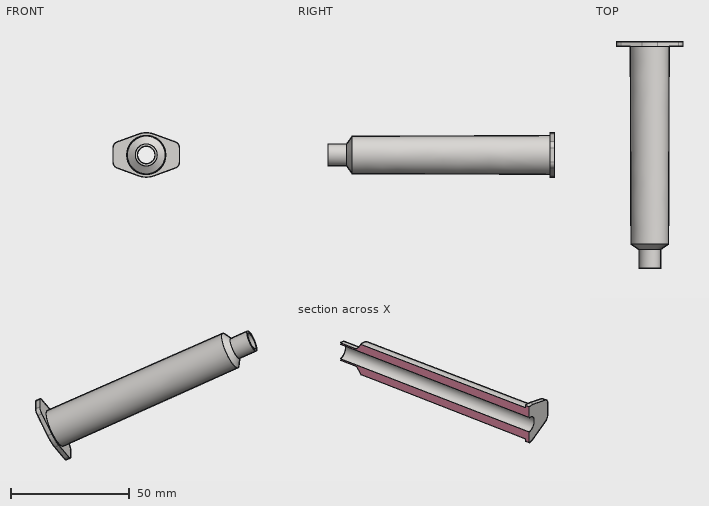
import cadquery as cq
import math

total_length = 95.3
flange_width = 28.0
flange_height = 18.8
flange_thickness = 2.0
flange_edge_angle = math.radians(20)
flange_corner_radius = 2.9

barrel_back_diameter = 16.5
barrel_front_diameter = 15.9
nozzle_diameter = 9.2
nozzle_length = 7.9
shoulder_length = 2.3
bore_diameter = 7.2


def make_flange():
    """Finger flange: two crown arcs about the axis joined by tangent sloping edges."""
    crown_radius = flange_height / 2
    side_x = flange_width / 2
    tangent_x = crown_radius * math.sin(flange_edge_angle)
    tangent_z = crown_radius * math.cos(flange_edge_angle)
    corner_z = tangent_z - (side_x - tangent_x) * math.tan(flange_edge_angle)
    plate = (
        cq.Workplane("XZ")
        .moveTo(-tangent_x, tangent_z)
        .threePointArc((0, crown_radius), (tangent_x, tangent_z))
        .lineTo(side_x, corner_z)
        .lineTo(side_x, -corner_z)
        .lineTo(tangent_x, -tangent_z)
        .threePointArc((0, -crown_radius), (-tangent_x, -tangent_z))
        .lineTo(-side_x, -corner_z)
        .lineTo(-side_x, corner_z)
        .close()
        .extrude(flange_thickness)
    )
    side_corners = plate.faces("<X or >X").edges("|Y")
    return side_corners.fillet(flange_corner_radius)


def make_body():
    """Tapered barrel, conical shoulder and nozzle, revolved about Y."""
    nozzle_start = -(total_length - nozzle_length)
    shoulder_start = nozzle_start + shoulder_length
    return (
        cq.Workplane("XY")
        .lineTo(barrel_back_diameter / 2, 0)
        .lineTo(barrel_front_diameter / 2, shoulder_start)
        .lineTo(nozzle_diameter / 2, nozzle_start)
        .lineTo(nozzle_diameter / 2, -total_length)
        .lineTo(0, -total_length)
        .close()
        .revolve(360, (0, 0, 0), (0, 1, 0))
    )


bore = cq.Workplane("XZ").circle(bore_diameter / 2).extrude(total_length)

result = make_flange().union(make_body()).cut(bore)